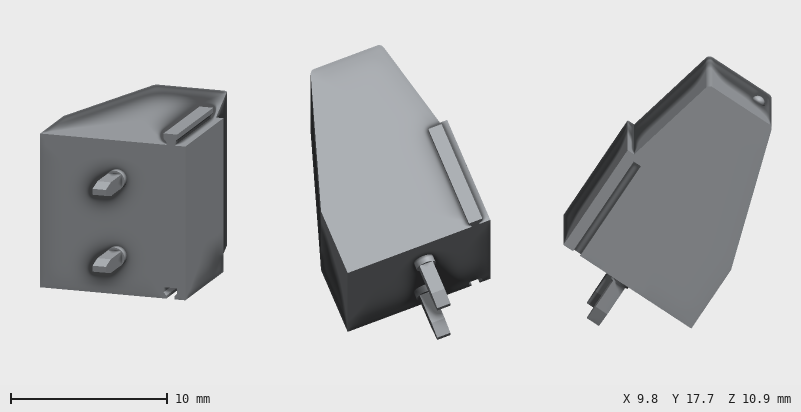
import cadquery as cq

pin_pitch = 5.08
pin_count = 2
housing_width = 9.8
housing_depth = 13.8
housing_height = pin_count * pin_pitch
left_wall_depth = 4.57
ledge_depth = 7.4
ledge_width = 0.5
back_left_x = 2.97
back_right_x = 7.84
back_corner_radius = 0.35

rail_center_x = 8.8
rail_length = 7.0
rail_height = 0.75
rail_head_width = 0.92
rail_neck_width = 0.55
rail_neck_height = 0.2
rail_taper_height = 0.21

pin_x = 5.2
pin_size = 0.9
pin_reach = 3.5
pin_taper_length = 0.97
pin_tip_thickness = 0.39
collar_diameter = 1.31
collar_length = 0.48

nub_x = 4.07
nub_height = 0.39
nub_base_radius = 0.46


def make_housing():
    """Tapered block with a narrow ledge on the right and rounded back corners."""
    outline = [
        (0, 0),
        (housing_width, 0),
        (housing_width, ledge_depth),
        (housing_width - ledge_width, ledge_depth),
        (back_right_x, housing_depth),
        (back_left_x, housing_depth),
        (0, left_wall_depth),
    ]
    block = cq.Workplane("XY").polyline(outline).close().extrude(housing_height)
    return block.faces(">Y").edges("|Z").fillet(back_corner_radius)


def make_rail(base_z):
    """Flared rail running back from the pin face, standing on the level base_z."""
    half_neck = rail_neck_width / 2
    half_head = rail_head_width / 2
    taper_top = rail_neck_height + rail_taper_height
    profile = [
        (-half_neck, 0),
        (half_neck, 0),
        (half_neck, rail_neck_height),
        (half_head, taper_top),
        (half_head, rail_height),
        (-half_head, rail_height),
        (-half_head, taper_top),
        (-half_neck, rail_neck_height),
    ]
    rail = cq.Workplane("XZ").polyline(profile).close().extrude(-rail_length)
    return rail.translate((rail_center_x, 0, base_z))


def make_pin(center_z):
    """Square pin, tapered above and below at its tip, with a collar at the housing."""
    half_size = pin_size / 2
    half_tip = pin_tip_thickness / 2
    taper_start = pin_reach - pin_taper_length
    profile = [
        (0, -half_size),
        (-taper_start, -half_size),
        (-pin_reach, -half_tip),
        (-pin_reach, half_tip),
        (-taper_start, half_size),
        (0, half_size),
    ]
    blade = cq.Workplane("YZ").polyline(profile).close().extrude(half_size, both=True)
    collar = cq.Workplane("XZ").circle(collar_diameter / 2).extrude(collar_length)
    return blade.union(collar).translate((pin_x, 0, center_z))


def make_nub():
    """Sphere sunk into the back face so that only its cap stands out."""
    sphere_radius = (nub_base_radius**2 + nub_height**2) / (2 * nub_height)
    center_y = housing_depth + nub_height - sphere_radius
    return cq.Workplane("XY").sphere(sphere_radius).translate((nub_x, center_y, housing_height / 2))


result = make_housing()
result = result.cut(make_rail(0))
result = result.union(make_rail(housing_height))
for pin_index in range(pin_count):
    result = result.union(make_pin((pin_index + 0.5) * pin_pitch))
result = result.union(make_nub())